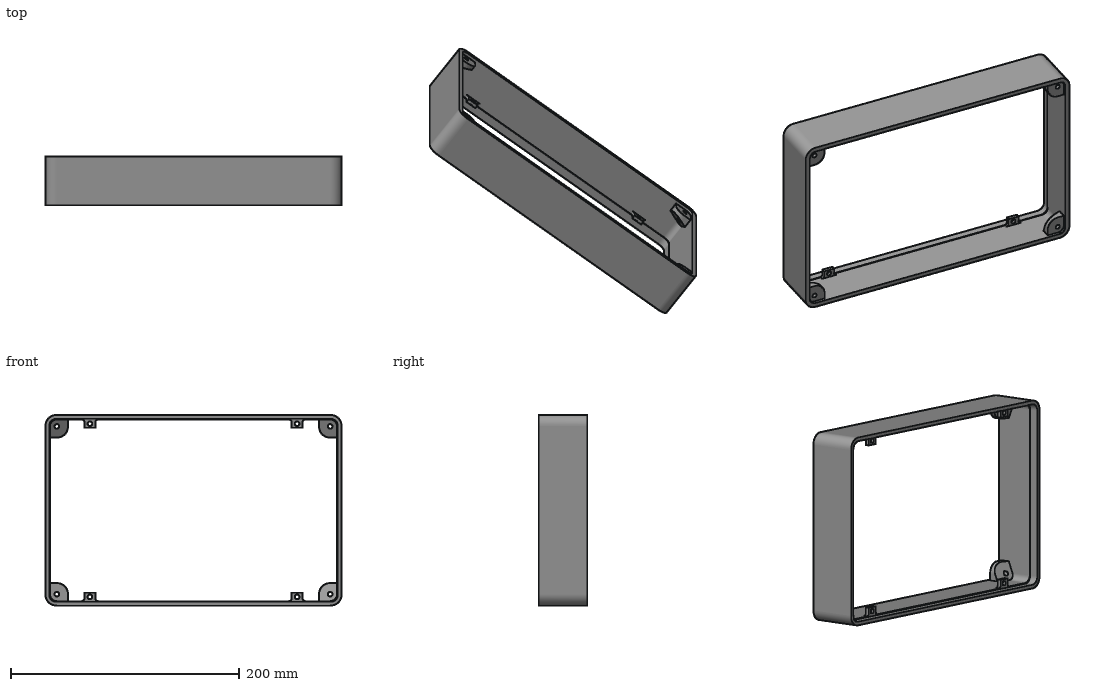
import cadquery as cq
import math

length = 260.0
depth = 43.0
height = 167.5
corner_radius = 10.0
wall = 4.2
front_y = -depth / 2
back_y = depth / 2

rim_wall = 3.5
rebate_depth = 8.0

hole_diameter = 4.0

lug_reach = 20.0
lug_radius = 10.0
lug_hole_offset = 10.1
lug_inset = 2.9
lug_end_thickness = 8.3
lug_slope = 30.0

tab_width = 10.0
tab_reach = 11.5
tab_thickness = 3.5
tab_spacing = 181.7
tab_hole_offset = 7.8
tab_foot_radius = 2.0


def rounded_block(inset, start_y, end_y):
    """Block inset from the outer outline, with corners concentric to it."""
    return (
        cq.Workplane("XY")
        .box(length - 2 * inset, end_y - start_y, height - 2 * inset)
        .edges("|Y")
        .fillet(corner_radius - inset)
        .translate((0, (start_y + end_y) / 2, 0))
    )


def profile_plane(y):
    """Sketch plane at y with local axes X and Z; extrusion runs toward -Y."""
    return cq.Workplane(cq.Plane(origin=(0, y, 0), xDir=(1, 0, 0), normal=(0, -1, 0)))


def mirror_to_corners(body):
    """The lower-left body together with its three mirror images."""
    pair = body.union(body.mirror("YZ"))
    return pair.union(pair.mirror("XY"))


def hole_cutter(x, z):
    return profile_plane(back_y).center(x, z).circle(hole_diameter / 2).extrude(depth)


def corner_lug():
    """Lower-left lug, rounded at its free corner."""
    left = -length / 2
    bottom = -height / 2
    lug_back = back_y - lug_inset
    blank = (
        cq.Workplane("XY")
        .box(lug_reach, lug_back - front_y, lug_reach, centered=False)
        .edges("|Y and >X and >Z")
        .fillet(lug_radius)
        .translate((left, front_y, bottom))
    )
    end_point = (left + lug_reach, lug_back - lug_end_thickness, bottom + wall)
    rise = math.sin(math.radians(lug_slope)) / math.sqrt(2)
    normal = (rise, -math.cos(math.radians(lug_slope)), rise)
    slope_plane = cq.Plane(origin=end_point, xDir=(1, 0, -1), normal=normal)
    front_waste = cq.Workplane(slope_plane).rect(2 * length, 2 * length).extrude(length)
    hole = hole_cutter(left + lug_hole_offset, bottom + lug_hole_offset)
    return blank.cut(front_waste).cut(hole)


def wall_tab():
    """Lower-left tab with a small concave fillet on each side of its foot."""
    x = -tab_spacing / 2
    bottom = -height / 2
    half = tab_width / 2
    floor = bottom + wall
    foot = floor + tab_foot_radius
    top = bottom + tab_reach
    bulge = tab_foot_radius * (1 - math.sqrt(0.5))
    foot_end = half + tab_foot_radius
    tab = (
        profile_plane(front_y + rebate_depth)
        .moveTo(x - foot_end, bottom + rim_wall)
        .lineTo(x - foot_end, floor)
        .threePointArc((x - half - bulge, floor + bulge), (x - half, foot))
        .lineTo(x - half, top)
        .lineTo(x + half, top)
        .lineTo(x + half, foot)
        .threePointArc((x + half + bulge, floor + bulge), (x + foot_end, floor))
        .lineTo(x + foot_end, bottom + rim_wall)
        .close()
        .extrude(-tab_thickness)
    )
    return tab.cut(hole_cutter(x, bottom + tab_hole_offset))


outer_block = rounded_block(0, front_y, back_y)
opening = rounded_block(wall, front_y, back_y)
rebate = rounded_block(rim_wall, front_y, front_y + rebate_depth)
frame = outer_block.cut(opening).cut(rebate)

lugs = mirror_to_corners(corner_lug()).intersect(outer_block)
tabs = mirror_to_corners(wall_tab())
result = frame.union(lugs).union(tabs)